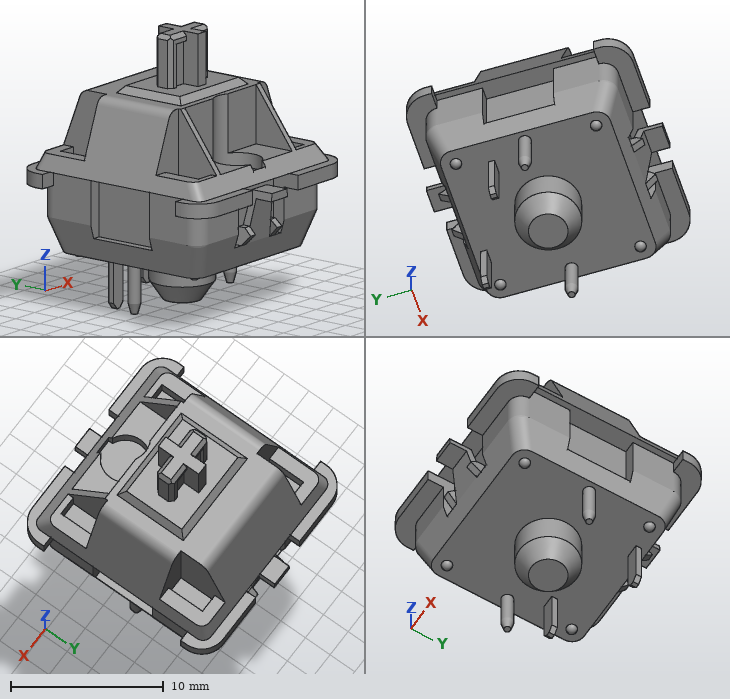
import cadquery as cq


FLANGE_TOP = 0.99
LEDGE_TOP = 2.09
ROOF = 6.11
STEM_BASE_TOP = 6.59
STEM_TOP = 10.16
WAIST = -2.22
FLOOR = -4.68
POST_TIP = -8.07
CONTACT_TIP = -8.38

FLANGE_SIDE = 15.49
FLANGE_RADIUS = 1.74
FLANGE_GAP_HALF = 5.55

LOWER_HALF = 6.575
FLOOR_HALF = 5.81
LOWER_RADIUS = 1.0

RECESS_WIDTH = 4.86
RECESS_BOTTOM = -3.14
RECESS_BACK = 5.70

TAB_TOP = 0.49
TAB_BOTTOM = -0.06
TAB_REACH = 16.19 / 2
LATCH_REAR = 6.42
LATCH_TOP_HALF = 0.785
LATCH_TOP_REACH = 6.83
LATCH_FOOT_HALF = 1.25
HOOK_TOP = -1.92
HOOK_POINT = -2.40
HOOK_SHOULDER = 6.48
HOOK_REACH = 7.0
HOOK_WIDTH = 0.51

UPPER_HALF = 7.0
ROOF_HALF = 5.02
ROOF_FRONT = -3.18
ROOF_RADIUS = 0.8
LEDGE_RADIUS = 0.72
SIDE_PANEL_HALF = 2.985
FRONT_PANEL_HALF = 4.21
WEB_THICKNESS = 0.44
POCKET_X = 5.58
POCKET_Y = 5.74

LIGHT_Y = -4.62
LIGHT_RADIUS = 1.64
LIGHT_FLOOR = 1.11
LIGHT_SLOT_END = -6.44
LIGHT_SLOT_WIDTH = 1.28

POST_DIAMETER = 4.39
POST_TIP_DIAMETER = 2.59
POST_CONE_START = -6.77
PIN_DIAMETER = 0.86
PIN_TIP_DIAMETER = 0.45
PIN_CONE_START = -7.34
PIN_X = 5.06
STANDOFF_RADIUS = 0.38
STANDOFF_OFFSET = FLOOR_HALF - LOWER_RADIUS
CONTACT_WIDTH = 1.0
CONTACT_THICKNESS = 0.42
CONTACT_TIP_WIDTH = 0.3
CONTACT_TIP_LENGTH = 0.43
CONTACT_PLACES = [(-3.79, 2.54), (2.55, 5.08)]

STEM_BASE_X = 7.09
STEM_BASE_Y = 5.37
STEM_BASE_INSET = 0.44
CROSS_X_LENGTH = 4.14
CROSS_X_THICKNESS = 1.36
CROSS_Y_LENGTH = 3.28
CROSS_Y_THICKNESS = 0.82
CROSS_CHAMFER = 0.28
CROSS_CHAMFER_DROP = 0.31
RELIEF_LENGTH = 2.90
RELIEF_DEPTH = 0.25
RELIEF_TOP = 9.54


def block(x0, x1, y0, y1, z0, z1):
    """Box between two opposite corners."""
    return cq.Workplane("XY").box(x1 - x0, y1 - y0, z1 - z0, centered=False).translate((x0, y0, z0))


def prism_along_x(outline, x0, x1):
    """Prism between two X positions from an outline of (y, z) points."""
    return cq.Workplane("YZ").workplane(offset=x0).polyline(outline).close().extrude(x1 - x0)


def prism_along_y(outline, y0, y1):
    """Prism between two Y positions from an outline of (x, z) points."""
    return cq.Workplane("XZ").workplane(offset=-y1).polyline(outline).close().extrude(y1 - y0)


def turned_pin(x, diameter, tip_diameter, cone_start):
    """Round pin below the housing floor, with a conical tip."""
    shank = cq.Workplane("XY").workplane(offset=cone_start).circle(diameter / 2).extrude(FLOOR - cone_start)
    tip = (
        cq.Workplane("XY").workplane(offset=cone_start).circle(diameter / 2)
        .workplane(offset=POST_TIP - cone_start).circle(tip_diameter / 2).loft(ruled=True)
    )
    return shank.union(tip).translate((x, 0, 0))


def blend(start, end, start_level, end_level, level):
    """Position at a level on a straight slope between two levels."""
    return start + (end - start) * (level - start_level) / (end_level - start_level)


def lower_housing():
    outline = [
        (-LOWER_HALF, FLANGE_TOP),
        (LOWER_HALF, FLANGE_TOP),
        (LOWER_HALF, WAIST),
        (FLOOR_HALF, FLOOR),
        (-FLOOR_HALF, FLOOR),
        (-LOWER_HALF, WAIST),
    ]
    body = prism_along_x(outline, -LOWER_HALF, LOWER_HALF)
    body = body.intersect(prism_along_y(outline, -LOWER_HALF, LOWER_HALF))
    return body.edges("not(#Z or |X or |Y)").fillet(LOWER_RADIUS)


def flange():
    plate = cq.Workplane("XY").rect(FLANGE_SIDE, FLANGE_SIDE).extrude(FLANGE_TOP)
    plate = plate.edges("|Z").fillet(FLANGE_RADIUS)
    half = FLANGE_SIDE / 2
    for x0, x1 in [(-half, -LOWER_HALF), (LOWER_HALF, half)]:
        plate = plate.cut(block(x0, x1, -FLANGE_GAP_HALF, FLANGE_GAP_HALF, 0, FLANGE_TOP))
    return plate


def side_recess():
    """Tool for the recess on the -Y side; it also parts the flange there."""
    half = RECESS_WIDTH / 2
    return block(-half, half, -FLANGE_SIDE / 2, -RECESS_BACK, RECESS_BOTTOM, FLANGE_TOP)


def latch():
    foot_reach = blend(LOWER_HALF, FLOOR_HALF, WAIST, FLOOR, RECESS_BOTTOM)
    side_profile = [
        (-LATCH_REAR, TAB_TOP),
        (-TAB_REACH, TAB_TOP),
        (-TAB_REACH, TAB_BOTTOM),
        (-LATCH_TOP_REACH, TAB_BOTTOM),
        (-foot_reach, RECESS_BOTTOM),
        (-RECESS_BACK, RECESS_BOTTOM),
    ]
    front_profile = [
        (-LATCH_TOP_HALF, TAB_TOP),
        (LATCH_TOP_HALF, TAB_TOP),
        (LATCH_FOOT_HALF, RECESS_BOTTOM),
        (-LATCH_FOOT_HALF, RECESS_BOTTOM),
    ]
    tongue = prism_along_x(side_profile, -LATCH_FOOT_HALF, LATCH_FOOT_HALF)
    tongue = tongue.intersect(prism_along_y(front_profile, -TAB_REACH, -RECESS_BACK))

    hook_rear = blend(LATCH_REAR, RECESS_BACK, TAB_TOP, RECESS_BOTTOM, HOOK_TOP)
    hook_profile = [
        (-hook_rear, HOOK_TOP),
        (-HOOK_SHOULDER, HOOK_TOP),
        (-HOOK_REACH, HOOK_POINT),
        (-foot_reach, RECESS_BOTTOM),
        (-RECESS_BACK, RECESS_BOTTOM),
    ]
    hook_top_half = blend(LATCH_TOP_HALF, LATCH_FOOT_HALF, TAB_TOP, RECESS_BOTTOM, HOOK_TOP)
    hooks = prism_along_x(hook_profile, -RECESS_WIDTH / 2, RECESS_WIDTH / 2)
    strips = cq.Workplane("XY")
    for side in (-1, 1):
        strip_outline = [
            (side * hook_top_half, HOOK_TOP),
            (side * (hook_top_half + HOOK_WIDTH), HOOK_TOP),
            (side * (LATCH_FOOT_HALF + HOOK_WIDTH), RECESS_BOTTOM),
            (side * LATCH_FOOT_HALF, RECESS_BOTTOM),
        ]
        strips = strips.add(prism_along_y(strip_outline, -TAB_REACH, -RECESS_BACK))
    return tongue.union(hooks.intersect(strips.combine()))


def upper_housing():
    across = [
        (-UPPER_HALF, FLANGE_TOP),
        (UPPER_HALF, FLANGE_TOP),
        (ROOF_HALF, ROOF),
        (-ROOF_HALF, ROOF),
    ]
    along = [
        (-UPPER_HALF, FLANGE_TOP),
        (UPPER_HALF, FLANGE_TOP),
        (ROOF_HALF, ROOF),
        (ROOF_FRONT, ROOF),
    ]
    ledge = prism_along_y(across, -UPPER_HALF, UPPER_HALF)
    ledge = ledge.intersect(prism_along_x(along, -UPPER_HALF, UPPER_HALF))
    ledge = ledge.edges("not(#Z or |X or |Y)").fillet(LEDGE_RADIUS)
    ledge = ledge.intersect(
        block(-UPPER_HALF, UPPER_HALF, -UPPER_HALF, UPPER_HALF, FLANGE_TOP, LEDGE_TOP)
    )
    for x0, x1 in [(-POCKET_X, -FRONT_PANEL_HALF), (FRONT_PANEL_HALF, POCKET_X)]:
        for y0, y1 in [(-POCKET_Y, -SIDE_PANEL_HALF), (SIDE_PANEL_HALF, POCKET_Y)]:
            ledge = ledge.cut(block(x0, x1, y0, y1, FLANGE_TOP, LEDGE_TOP))

    side_panels = prism_along_y(across, -SIDE_PANEL_HALF, SIDE_PANEL_HALF)
    side_panels = side_panels.edges("|Y and >Z").fillet(ROOF_RADIUS)
    spine = prism_along_x(along, -FRONT_PANEL_HALF, FRONT_PANEL_HALF)
    spine = spine.edges("|X and >Z").edges(">Y").fillet(ROOF_RADIUS)
    body = ledge.union(side_panels).union(spine)
    return body.cut(front_bay()).cut(light_recess())


def front_bay():
    half = FRONT_PANEL_HALF - WEB_THICKNESS
    return block(-half, half, -UPPER_HALF, ROOF_FRONT, LEDGE_TOP, ROOF)


def light_recess():
    depth = ROOF - LIGHT_FLOOR
    bore = cq.Workplane("XY").circle(LIGHT_RADIUS).extrude(depth).translate((0, LIGHT_Y, LIGHT_FLOOR))
    half = LIGHT_SLOT_WIDTH / 2
    return bore.union(block(-half, half, LIGHT_SLOT_END, LIGHT_Y, LIGHT_FLOOR, LEDGE_TOP))


def contact(x, y):
    """Flat contact leg with a pointed tip, centred at (x, y)."""
    half = CONTACT_WIDTH / 2
    tip_half = CONTACT_TIP_WIDTH / 2
    shoulder = CONTACT_TIP + CONTACT_TIP_LENGTH
    outline = [
        (x - half, FLOOR),
        (x + half, FLOOR),
        (x + half, shoulder),
        (x + tip_half, CONTACT_TIP),
        (x - tip_half, CONTACT_TIP),
        (x - half, shoulder),
    ]
    return prism_along_y(outline, y - CONTACT_THICKNESS / 2, y + CONTACT_THICKNESS / 2)


def standoff(x, y):
    return cq.Workplane("XY").sphere(STANDOFF_RADIUS).translate((x, y, FLOOR))


def build_housing():
    body = lower_housing().union(flange())
    for turn in (0, 90, 180, 270):
        body = body.cut(side_recess().rotate((0, 0, 0), (0, 0, 1), turn))
    body = body.union(upper_housing())
    for turn in (0, 180):
        body = body.union(latch().rotate((0, 0, 0), (0, 0, 1), turn))
    body = body.union(turned_pin(0, POST_DIAMETER, POST_TIP_DIAMETER, POST_CONE_START))
    for side in (-1, 1):
        body = body.union(turned_pin(side * PIN_X, PIN_DIAMETER, PIN_TIP_DIAMETER, PIN_CONE_START))
        for y in (-STANDOFF_OFFSET, STANDOFF_OFFSET):
            body = body.union(standoff(side * STANDOFF_OFFSET, y))
    for x, y in CONTACT_PLACES:
        body = body.union(contact(x, y))
    return body


def bevelled_profile(width):
    """Upright profile of the X bar, with both top corners bevelled."""
    half = width / 2
    return [
        (-half, STEM_BASE_TOP),
        (half, STEM_BASE_TOP),
        (half, STEM_TOP - CROSS_CHAMFER_DROP),
        (half - CROSS_CHAMFER, STEM_TOP),
        (CROSS_CHAMFER - half, STEM_TOP),
        (-half, STEM_TOP - CROSS_CHAMFER_DROP),
    ]


def cross_x_bar():
    half_length = CROSS_X_LENGTH / 2
    half_thickness = CROSS_X_THICKNESS / 2
    bar = block(-half_length, half_length, -half_thickness, half_thickness, STEM_BASE_TOP, STEM_TOP)
    bar = bar.edges("|Z").chamfer(CROSS_CHAMFER)
    bar = bar.intersect(prism_along_y(bevelled_profile(CROSS_X_LENGTH), -half_thickness, half_thickness))
    bar = bar.intersect(prism_along_x(bevelled_profile(CROSS_X_THICKNESS), -half_length, half_length))
    relief_half = RELIEF_LENGTH / 2
    web_half = half_thickness - RELIEF_DEPTH
    for y0, y1 in [(-half_thickness, -web_half), (web_half, half_thickness)]:
        bar = bar.cut(block(-relief_half, relief_half, y0, y1, STEM_BASE_TOP, RELIEF_TOP))
    return bar


def build_stem():
    base = (
        cq.Workplane("XY").workplane(offset=ROOF).rect(STEM_BASE_X, STEM_BASE_Y)
        .workplane(offset=STEM_BASE_TOP - ROOF)
        .rect(STEM_BASE_X - 2 * STEM_BASE_INSET, STEM_BASE_Y - 2 * STEM_BASE_INSET)
        .loft(ruled=True)
    )
    half_thickness = CROSS_Y_THICKNESS / 2
    half_length = CROSS_Y_LENGTH / 2
    cross_y_bar = block(
        -half_thickness, half_thickness, -half_length, half_length, STEM_BASE_TOP, STEM_TOP
    )
    return base.union(cross_x_bar()).union(cross_y_bar)


housing = build_housing()
stem = build_stem()
result = cq.Compound.makeCompound([housing.val(), stem.val()])